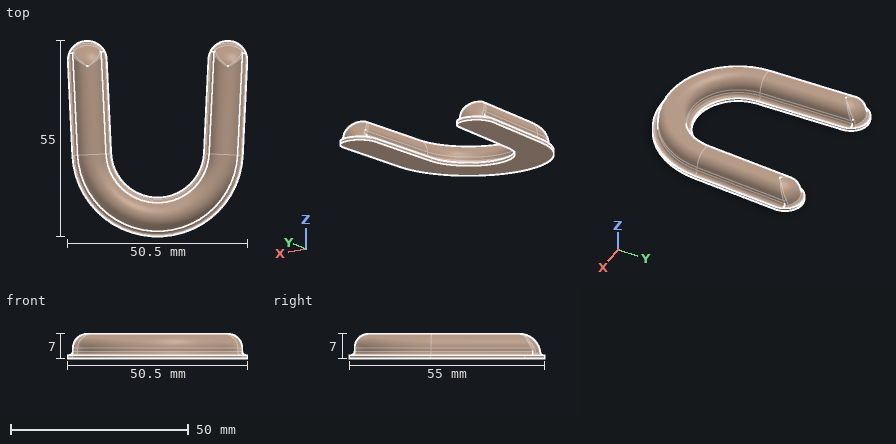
import cadquery as cq
import math

bend_radius = 18.5
splay_angle = 2.71
leg_length = 26.4

flange_half_width = 5.5
flange_thickness = 1.0

height = 7.0
bead_radius = 4.0
bead_axis_z = height - bead_radius

nose_radius = height - flange_thickness
nose_setback = 1.7
nose_distance = leg_length - nose_setback
nose_edge_fillet = 0.9

side_root_fillet = 1.0
nose_root_fillet = 0.65

side_fillet_overrun = math.sqrt(
    (nose_radius - nose_edge_fillet) ** 2
    - (bead_radius - nose_edge_fillet) ** 2
    - side_root_fillet ** 2
)


def leg_plane(distance=0.0):
    """Plane across the right leg, a given distance from the bend, facing the leg end."""
    angle = math.radians(splay_angle)
    x = bend_radius * math.cos(angle) + distance * math.sin(angle)
    y = -bend_radius * math.sin(angle) + distance * math.cos(angle)
    return cq.Plane(
        origin=(x, y, 0),
        xDir=(-math.cos(angle), math.sin(angle), 0),
        normal=(math.sin(angle), math.cos(angle), 0),
    )


def sweep_half(section, length):
    """Right half of the U: the section carried along one leg and half the bend."""
    leg = section(cq.Workplane(leg_plane())).extrude(length)
    bend = section(cq.Workplane("XZ").center(bend_radius, 0)).revolve(
        90 - splay_angle, (-bend_radius, 0, 0), (-bend_radius, -1, 0)
    )
    bend = bend.rotate((0, 0, 0), (0, 0, 1), -splay_angle)
    return leg.union(bend)


def mirrored(half):
    """Both halves of the U joined across the YZ plane."""
    return half.union(half.mirror("YZ"))


def flange_section(plane):
    """Flat rectangular section."""
    return plane.center(0, flange_thickness / 2).rect(2 * flange_half_width, flange_thickness)


def bead_section(plane):
    """Straight-sided section with a semicircular top."""
    return (
        plane.moveTo(-bead_radius, 0)
        .lineTo(-bead_radius, bead_axis_z)
        .threePointArc((0, height), (bead_radius, bead_axis_z))
        .lineTo(bead_radius, 0)
        .close()
    )


def side_root_section(plane):
    """Low section whose two concave sides are the root fillets of the bead."""
    foot = bead_radius + side_root_fillet
    fillet_top = flange_thickness + side_root_fillet
    arc_drop = side_root_fillet * math.sqrt(0.5)
    arc_middle = (foot - arc_drop, fillet_top - arc_drop)
    return (
        plane.moveTo(-foot, 0)
        .lineTo(-foot, flange_thickness)
        .threePointArc((-arc_middle[0], arc_middle[1]), (-bead_radius, fillet_top))
        .lineTo(bead_radius, fillet_top)
        .threePointArc(arc_middle, (foot, flange_thickness))
        .lineTo(foot, 0)
        .close()
    )


def flange():
    """U-shaped plate with rounded leg ends."""
    end_plane = leg_plane(leg_length)
    end_centre = (end_plane.origin.x, end_plane.origin.y)
    round_end = cq.Workplane("XY").center(*end_centre).circle(flange_half_width).extrude(flange_thickness)
    return mirrored(sweep_half(flange_section, leg_length).union(round_end))


def bead():
    """Bead along the whole U with a ball nose on each leg end."""
    nose_plane = leg_plane(nose_distance)
    ball_centre = nose_plane.origin + cq.Vector(0, 0, flange_thickness)
    ball = cq.Workplane("XY").sphere(nose_radius, direct=nose_plane.xDir.toTuple()).translate(ball_centre)
    nose = bead_section(cq.Workplane(nose_plane)).extrude(nose_radius).intersect(ball)
    sharp_bead = mirrored(sweep_half(bead_section, nose_distance).union(nose))
    return sharp_bead.edges("%BSPLINE").fillet(nose_edge_fillet)


def with_nose_root_fillet(body):
    """Round the inside corner around the foot of the bead."""
    flange_top = body.faces("+Z").val()
    bead_foot = flange_top.innerWires()[0].Edges()
    return body.newObject(bead_foot).fillet(nose_root_fillet)


side_root = mirrored(sweep_half(side_root_section, nose_distance + side_fillet_overrun))
result = with_nose_root_fillet(flange().union(bead())).union(side_root)